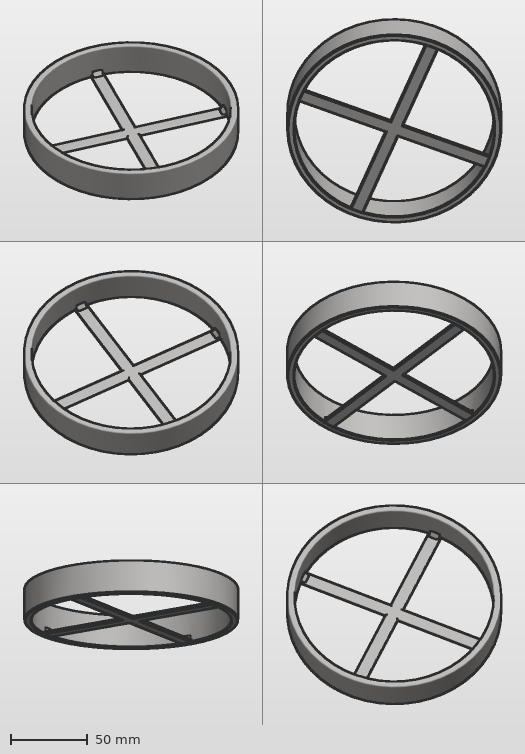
import cadquery as cq

outer_diameter = 140.0
inner_diameter = 130.0
height = 22.0
edge_radius = 1.0

base_chamfer = 0.7
steep_inset = 0.21
steep_top = 1.5
bevel_inset = steep_inset + base_chamfer

arm_width = 9.0
arm_thickness = 2.0

gusset_width = arm_width - 2 * edge_radius
gusset_size = 3.0
gusset_overlap = 1.0

inner_radius = inner_diameter / 2
arm_length = inner_diameter + 2 * gusset_overlap


def make_ring():
    """Ring with rounded top edges and a two-step bevel on both bottom edges."""
    outer_radius = outer_diameter / 2
    profile = (
        cq.Workplane("XZ")
        .moveTo(inner_radius + bevel_inset, 0)
        .lineTo(outer_radius - bevel_inset, 0)
        .lineTo(outer_radius - steep_inset, base_chamfer)
        .lineTo(outer_radius, steep_top)
        .lineTo(outer_radius, height)
        .lineTo(inner_radius, height)
        .lineTo(inner_radius, steep_top)
        .lineTo(inner_radius + steep_inset, base_chamfer)
        .close()
    )
    blank = profile.revolve(360, (0, 0, 0), (0, 1, 0))
    return blank.faces(">Z").edges().fillet(edge_radius)


def make_cross():
    """Two crossed flat arms with rounded top edges and chamfered bottom edges."""
    plate = (
        cq.Workplane("XY")
        .rect(arm_length, arm_width)
        .extrude(arm_thickness)
        .union(cq.Workplane("XY").rect(arm_width, arm_length).extrude(arm_thickness))
    )
    plate = plate.faces("<Z").edges("|X or |Y").chamfer(base_chamfer)
    return plate.faces(">Z").edges("|X or |Y").fillet(edge_radius)


def make_gusset():
    """45-degree wedge at the +X arm end, with both sloping edges rounded."""
    foot = inner_radius - gusset_size
    back = inner_radius + gusset_overlap
    top = arm_thickness + gusset_size
    wedge = (
        cq.Workplane("XZ")
        .moveTo(foot, arm_thickness)
        .lineTo(inner_radius, top)
        .lineTo(back, top)
        .lineTo(back, arm_thickness)
        .close()
        .extrude(gusset_width / 2, both=True)
    )
    slope = wedge.faces("<X")
    return slope.edges("<Y or >Y").fillet(edge_radius)


result = make_ring().union(make_cross())
for angle in (0, 90, 180, 270):
    result = result.union(make_gusset().rotate((0, 0, 0), (0, 0, 1), angle))